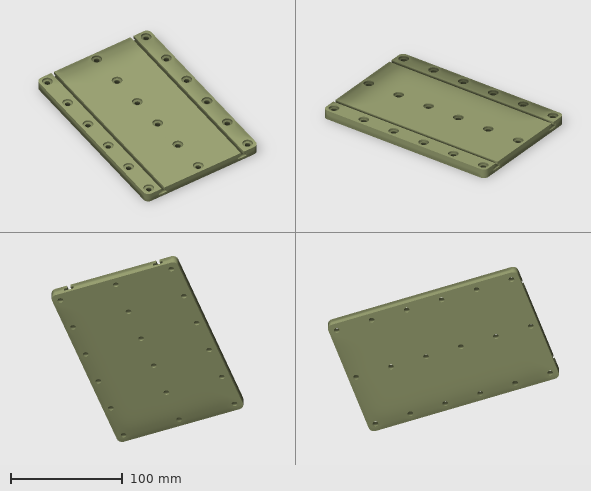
import cadquery as cq

length = 180.0
width = 120.0
thickness = 9.0
corner_radius = 5.0

hole_columns = 6
hole_rows = 3
edge_distance = 7.2
hole_diameter = 5.0
counterbore_diameter = 9.5
counterbore_depth = 1.8
column_pitch = (length - 2 * edge_distance) / (hole_columns - 1)
row_pitch = (width - 2 * edge_distance) / (hole_rows - 1)

slot_spacing = 85.0
neck_width = 3.2
neck_depth = 3.0
head_width = 9.0
head_height = 3.0


def make_plate():
    """Plate with its bottom face on Z = 0 and rounded vertical corners."""
    plate = cq.Workplane("XY").box(length, width, thickness, centered=(True, True, False))
    return plate.edges("|Z").fillet(corner_radius)


def make_t_slot(center_y):
    """Cutter for one T-slot: a narrow neck above a wide head."""
    head_top = thickness - neck_depth
    centered_xy = (True, True, False)
    neck = cq.Workplane("XY", origin=(0, center_y, head_top)).box(
        length, neck_width, neck_depth, centered=centered_xy
    )
    head = cq.Workplane("XY", origin=(0, center_y, head_top - head_height)).box(
        length, head_width, head_height, centered=centered_xy
    )
    return neck.union(head)


def drill_holes(plate):
    """Through holes counterbored from the top face."""
    return (
        plate.faces(">Z")
        .workplane(origin=(0, 0, thickness))
        .rarray(column_pitch, row_pitch, hole_columns, hole_rows)
        .cboreHole(hole_diameter, counterbore_diameter, counterbore_depth)
    )


result = drill_holes(make_plate())
for side in (-1, 1):
    result = result.cut(make_t_slot(side * slot_spacing / 2))